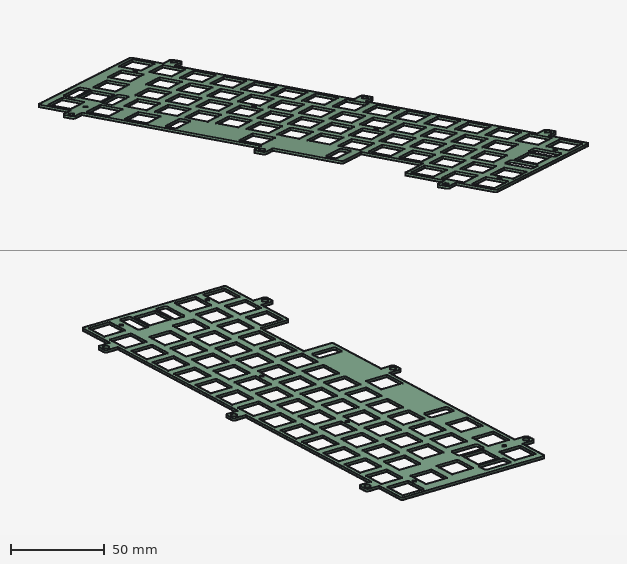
import cadquery as cq

plate_length = 285.8
columns = 15
rows = 5
unit = plate_length / columns
plate_width = rows * unit
thickness = 1.5
overall_width = 111.7
corner_radius = 1.0

notch_columns = (10, 12)
notch_widening = 0.5
notch_depth = unit

tab_columns = [1.25, 7.5, 13.5]
tab_width = 7.1
tab_length = (overall_width - plate_width) / 2
tab_corner_radius = 1.5
tab_hole_diameter = 3.5
tab_hole_offset = 5.1

switch_size = 14.0

slot_width = switch_size / 2
slot_length = 17.1
slot_corner_radius = 1.1
space_bar_slot_length = 15.5
two_unit_spacing = 12.0
space_bar_spacing = 50.0
two_unit_slot_shift = 0.3
space_bar_slot_shift = 1.0

screw_hole_diameter = 2.2

shift_key = (1, 3.5)
enter_key = (14.375, 2)
space_bar_key = (6.875, 4.5)
key_rows = {
    0.5: [0.5 + i for i in range(15)],
    1.5: [0.75] + [2 + i for i in range(12)],
    2.5: [0.875] + [2.25 + i for i in range(12)],
    3.5: [2.5 + i for i in range(13)],
    4.5: [0.625, 1.875, 3.125, 12.5, 13.5, 14.5],
}
screw_positions = [(0.75, 1), (14.5, 1), (5.25, 2), (9.25, 2), (14.5, 4), (1.25, 4.5)]


def place(column, row):
    """Plate coordinates of a position given in key units from the left rear corner."""
    return (column * unit - plate_length / 2, plate_width / 2 - row * unit)


def block(length, width, center):
    """Block of plate thickness, standing on the XY plane."""
    return cq.Workplane("XY").center(*center).rect(length, width).extrude(thickness)


def make_plate():
    """Plate outline with rounded outer corners and sharp corners inside the notch."""
    left, rear = place(0, 0)
    right, front = place(columns, rows)
    notch_left = place(notch_columns[0], rows)[0] - notch_widening
    notch_right = place(notch_columns[1], rows)[0]
    notch_top = front + notch_depth
    outline = [
        (left, rear),
        (left, front),
        (notch_left, front),
        (notch_left, notch_top),
        (notch_right, notch_top),
        (notch_right, front),
        (right, front),
        (right, rear),
    ]
    plate = cq.Workplane("XY").polyline(outline).close().extrude(thickness)
    outer_edges = plate.faces("<Y or >Y").edges("|Z")
    return outer_edges.fillet(corner_radius)


def make_tab(column, side):
    """Tab on the rear (side = 1) or front (side = -1) edge, with its screw hole."""
    x = place(column, 0)[0]
    edge_y = side * plate_width / 2
    tab = block(tab_width, tab_length, (x, edge_y + side * tab_length / 2))
    outer_face = ">Y" if side > 0 else "<Y"
    tab = tab.faces(outer_face).edges("|Z").fillet(tab_corner_radius)
    hole_center = (x, edge_y + side * tab_hole_offset)
    hole = cq.Workplane("XY").center(*hole_center).circle(tab_hole_diameter / 2).extrude(thickness)
    return tab.cut(hole)


def slot(length, width, center):
    """Block with rounded corners that cuts one stabilizer slot."""
    return block(length, width, center).edges("|Z").fillet(slot_corner_radius)


def cut_side_slots(plate, key, spacing, length, shift):
    """Cut the stabilizer slots left and right of a wide key."""
    x, y = place(*key)
    for side in (-1, 1):
        plate = plate.cut(slot(slot_width, length, (x + side * spacing, y + shift)))
    return plate


def cut_enter_slots(plate):
    """Cut the stabilizer slots behind and in front of the tall enter key."""
    x, y = place(*enter_key)
    for side in (-1, 1):
        center = (x + two_unit_slot_shift, y + side * two_unit_spacing)
        plate = plate.cut(slot(slot_length, slot_width, center))
    return plate


result = make_plate()
for tab_column in tab_columns:
    for tab_side in (-1, 1):
        result = result.union(make_tab(tab_column, tab_side))

switch_centers = [place(*key) for key in (shift_key, enter_key, space_bar_key)]
for key_row, key_columns in key_rows.items():
    switch_centers += [place(key_column, key_row) for key_column in key_columns]
switches = cq.Workplane("XY").pushPoints(switch_centers).rect(switch_size, switch_size).extrude(thickness)
result = result.cut(switches)

result = cut_side_slots(result, shift_key, two_unit_spacing, slot_length, -two_unit_slot_shift)
result = cut_side_slots(result, space_bar_key, space_bar_spacing, space_bar_slot_length, space_bar_slot_shift)
result = cut_enter_slots(result)

screw_centers = [place(*position) for position in screw_positions]
screws = cq.Workplane("XY").pushPoints(screw_centers).circle(screw_hole_diameter / 2).extrude(thickness)
result = result.cut(screws)